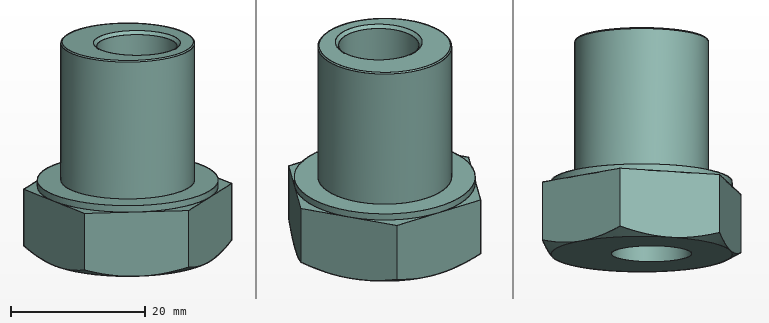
import cadquery as cq
import math

total_height = 32.5
across_flats = 27.0
hex_height = 10.0
collar_height = 1.0

shank_diameter = 20.0
shank_chamfer = 0.2
bore_diameter = 12.0
bore_offset = 1.5
bore_chamfer = 0.5

bevel_angle = 30.0

across_corners = across_flats / math.cos(math.radians(30))
flat_radius = across_flats / 2
corner_radius = across_corners / 2
bevel_height = (corner_radius - flat_radius) * math.tan(math.radians(bevel_angle))


def hexagon_head():
    """Hexagon with corners on the Y axis, bevelled underneath by a cone."""
    prism = (
        cq.Workplane("XY")
        .polygon(6, across_corners)
        .extrude(hex_height)
        .rotate((0, 0, 0), (0, 0, 1), 90)
    )
    bevel_envelope = (
        cq.Workplane("XZ")
        .moveTo(0, 0)
        .lineTo(flat_radius, 0)
        .lineTo(corner_radius, bevel_height)
        .lineTo(corner_radius, hex_height)
        .lineTo(0, hex_height)
        .close()
        .revolve(360, (0, 0, 0), (0, 1, 0))
    )
    return prism.intersect(bevel_envelope)


def collar():
    """Thin round washer face on top of the hexagon."""
    return cq.Workplane("XY").workplane(offset=hex_height).circle(flat_radius).extrude(collar_height)


def shank():
    """Plain cylinder rising to the full height, with its top edge broken."""
    return (
        cq.Workplane("XY")
        .workplane(offset=hex_height)
        .circle(shank_diameter / 2)
        .extrude(total_height - hex_height)
        .faces(">Z")
        .edges()
        .chamfer(shank_chamfer)
    )


def bore_cutter():
    """Off-centre through bore that widens to a chamfer at the top."""
    radius = bore_diameter / 2
    return (
        cq.Workplane("XZ")
        .moveTo(0, 0)
        .lineTo(radius, 0)
        .lineTo(radius, total_height - bore_chamfer)
        .lineTo(radius + bore_chamfer, total_height)
        .lineTo(0, total_height)
        .close()
        .revolve(360, (0, 0, 0), (0, 1, 0))
        .translate((bore_offset, 0, 0))
    )


result = hexagon_head().union(collar()).union(shank()).cut(bore_cutter())